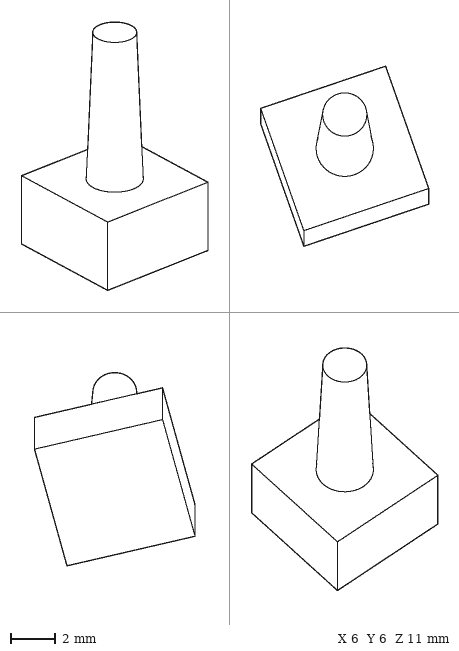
import cadquery as cq

total_height = 11.0
base_side = 6.0
base_height = 3.5
pin_bottom_diameter = 2.6
pin_top_diameter = 2.0

pin_height = total_height - base_height

base = cq.Workplane("XY").box(base_side, base_side, base_height, centered=(True, True, False))

pin = cq.Workplane("XY").add(
    cq.Solid.makeCone(
        pin_bottom_diameter / 2,
        pin_top_diameter / 2,
        pin_height,
        pnt=cq.Vector(0, 0, base_height),
    )
)

result = base.union(pin)